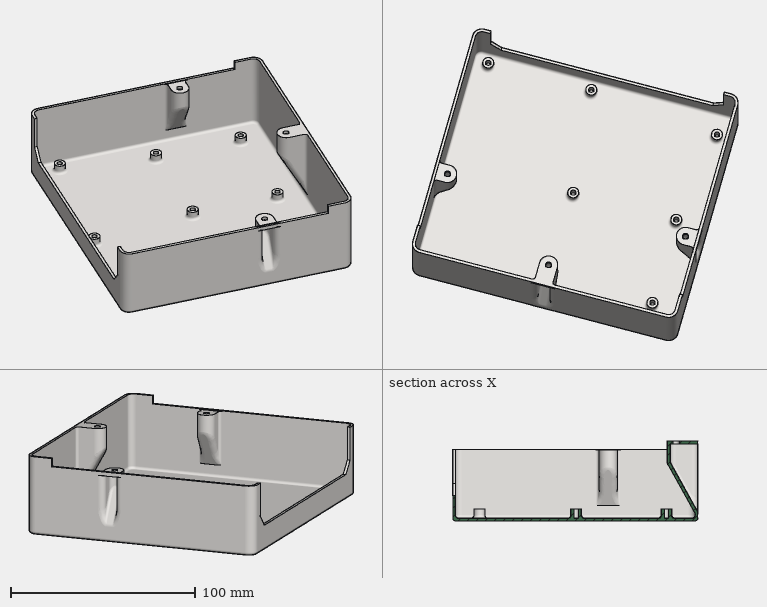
import cadquery as cq
import math

LENGTH = 149.2
WIDTH = 133.2
BACK_HEIGHT = 43.6
RIM_HEIGHT = 39.0
WALL = 1.6
FLOOR = 1.6
CORNER_RADIUS = 5.2
OUTER_EDGE_RADIUS = 1.6
FLOOR_EDGE_RADIUS = 1.6
BACK_RIM_DEPTH = 14.7

OPENING_MARGIN = 9.0
OPENING_SILL = 14.0
OPENING_CHAMFER_X = 6.0
OPENING_CHAMFER_Z = 6.5

LUG_RADIUS = 5.0
LUG_EDGE_RADIUS = 3.0
LUG_ROOT_RADIUS = 1.6
LUG_HOLE_DIAMETER = 3.2
LUG_SLOPE_ANGLE = 61.0
LUG_SLOPE = math.tan(math.radians(LUG_SLOPE_ANGLE))

SIDE_LUG_Y = 17.9
SIDE_LUG_REACH = 7.6
SIDE_LUG_TOP = 38.6
SIDE_LUG_FOOT = 8.4
BACK_LUG_X = 0.0
BACK_LUG_REACH = 11.8
BACK_LUG_TOP = BACK_HEIGHT
BACK_LUG_FOOT = 4.0

LUG_SHELL = 1.8
HOLLOW_RADIUS = LUG_RADIUS - LUG_SHELL
HOLLOW_EDGE_RADIUS = 1.6
HOLLOW_MOUTH_RADIUS = 3.3
HOLLOW_SLOPE_RISE = LUG_SHELL * math.hypot(1, LUG_SLOPE)

BOSS_DIAMETER = 6.0
BOSS_HOLE_DIAMETER = 2.85
BOSS_HEIGHT = 5.0
BOSS_FOOT_RADIUS = 1.6
BOARD_PITCH_X = 58.0
BOARD_PITCH_Y = 49.0
BACK_BOARD_X = -57.0
BACK_BOARD_Y = 0.5
FRONT_BOARD_X = 7.0
FRONT_BOARD_Y = -58.5
CORNER_BOSS = (-65.5, -52.0)

TINY = 0.01


def rounded_block(inset, bottom, edge_radius):
    """Block inset from the tray's sides, with round corners and a round bottom edge."""
    return (
        cq.Workplane("XY", origin=(0, 0, bottom))
        .rect(LENGTH - 2 * inset, WIDTH - 2 * inset)
        .extrude(BACK_HEIGHT - bottom)
        .edges("|Z")
        .fillet(CORNER_RADIUS - inset)
        .faces("<Z")
        .edges()
        .fillet(edge_radius)
    )


def make_shell():
    """Open tray whose rim is higher along the back wall."""
    shell = rounded_block(0, 0, OUTER_EDGE_RADIUS)
    shell = shell.cut(rounded_block(WALL, FLOOR, FLOOR_EDGE_RADIUS))
    above_rim = cq.Workplane("XY").box(
        LENGTH, WIDTH, BACK_HEIGHT - RIM_HEIGHT, centered=(True, True, False)
    )
    return shell.cut(above_rim.translate((0, -BACK_RIM_DEPTH, RIM_HEIGHT)))


def front_opening():
    """Cutter for the front wall, with both lower corners cut off at a slant."""
    half = LENGTH / 2 - OPENING_MARGIN
    half_sill = half - OPENING_CHAMFER_X
    chamfer_top = OPENING_SILL + OPENING_CHAMFER_Z
    return (
        cq.Workplane("XZ", origin=(0, WALL - WIDTH / 2, 0))
        .moveTo(-half, RIM_HEIGHT)
        .lineTo(-half, chamfer_top)
        .lineTo(-half_sill, OPENING_SILL)
        .lineTo(half_sill, OPENING_SILL)
        .lineTo(half, chamfer_top)
        .lineTo(half, RIM_HEIGHT)
        .close()
        .extrude(WALL)
    )




def slope_underside(form, tip, foot, edge_radius):
    """Cut a slope from height foot at Y = 0 up to the tip and round its edges beyond the wall."""
    tip_height = foot + tip * LUG_SLOPE
    back_height = foot - WALL * LUG_SLOPE
    half_width = LUG_RADIUS + LUG_ROOT_RADIUS
    below = (
        cq.Workplane("YZ")
        .polyline([(-WALL, 0), (-WALL, back_height), (tip, tip_height), (tip, 0)])
        .close()
        .extrude(half_width, both=True)
    )
    form = form.cut(below)
    slope = form.faces("%PLANE").filter(lambda face: face.normalAt().y * face.normalAt().z < -TINY)
    return slope.edges().filter(lambda edge: edge.Center().y > TINY).fillet(edge_radius)


def make_lug(reach, top, foot):
    """Solid lug that flares out where it meets the inside of the wall."""
    radius = LUG_RADIUS
    root = LUG_ROOT_RADIUS
    half_width = radius + root
    tip = reach + radius
    form = (
        cq.Workplane("XY")
        .moveTo(-half_width, -WALL)
        .lineTo(-half_width, 0)
        .radiusArc((-radius, root), -root)
        .lineTo(-radius, reach)
        .threePointArc((0, tip), (radius, reach))
        .lineTo(radius, root)
        .radiusArc((half_width, 0), -root)
        .lineTo(half_width, -WALL)
        .close()
        .extrude(top)
    )
    return slope_underside(form, tip, foot, LUG_EDGE_RADIUS)


def make_hollow(reach, top, foot):
    """Hollow inside a lug, with a rounded mouth on the outside of the wall and a flat top."""
    radius = HOLLOW_RADIUS
    tip = reach + radius
    form = (
        cq.Workplane("XY")
        .moveTo(-radius, -WALL)
        .lineTo(-radius, reach)
        .threePointArc((0, tip), (radius, reach))
        .lineTo(radius, -WALL)
        .close()
        .extrude(top)
    )
    form = slope_underside(form, tip, foot, HOLLOW_EDGE_RADIUS)
    block_width = 2 * (radius + 2 * HOLLOW_MOUTH_RADIUS)
    block = cq.Workplane("XY").box(block_width, 2 * tip, top, centered=(True, False, False))
    mouth = cq.selectors.BoxSelector((-radius - TINY, -TINY, TINY), (radius + TINY, TINY, top - TINY))
    surround = block.cut(form).edges(mouth).fillet(HOLLOW_MOUTH_RADIUS)
    return block.cut(surround)


def add_lug(body, reach, top, foot, angle, place):
    """Add a hollow lug with its screw hole; place is its point on the outside of the wall."""

    def on_wall(form):
        return form.rotate((0, 0, 0), (0, 0, 1), angle).translate((*place, 0))

    lug = make_lug(reach - WALL, top, foot).translate((0, WALL, 0))
    hollow_foot = foot - WALL * LUG_SLOPE + HOLLOW_SLOPE_RISE
    hollow = make_hollow(reach, top - LUG_SHELL, hollow_foot)
    hole = (
        cq.Workplane("XY", origin=(0, reach, top - LUG_SHELL))
        .circle(LUG_HOLE_DIAMETER / 2)
        .extrude(LUG_SHELL)
    )
    return body.union(on_wall(lug)).cut(on_wall(hollow)).cut(on_wall(hole))


def make_boss():
    """Standoff with a screw hole down to the floor and a filleted foot."""
    hole_radius = BOSS_HOLE_DIAMETER / 2
    radius = BOSS_DIAMETER / 2
    return (
        cq.Workplane("XZ")
        .moveTo(hole_radius, 0)
        .lineTo(hole_radius, BOSS_HEIGHT)
        .lineTo(radius, BOSS_HEIGHT)
        .lineTo(radius, BOSS_FOOT_RADIUS)
        .radiusArc((radius + BOSS_FOOT_RADIUS, 0), -BOSS_FOOT_RADIUS)
        .close()
        .revolve(360, (0, 0, 0), (0, 1, 0))
        .translate((0, 0, FLOOR))
    )


def boss_places():
    """Centres of all standoffs."""
    columns = (0, BOARD_PITCH_X)
    rows = (0, BOARD_PITCH_Y)
    places = [(BACK_BOARD_X + dx, BACK_BOARD_Y + dy) for dx in columns for dy in rows]
    places += [(FRONT_BOARD_X + dx, FRONT_BOARD_Y) for dx in columns]
    return places + [CORNER_BOSS]


body = make_shell().cut(front_opening())
for side in (-1, 1):
    side_place = (side * LENGTH / 2, SIDE_LUG_Y)
    body = add_lug(body, SIDE_LUG_REACH, SIDE_LUG_TOP, SIDE_LUG_FOOT, side * 90, side_place)
back_place = (BACK_LUG_X, WIDTH / 2)
body = add_lug(body, BACK_LUG_REACH, BACK_LUG_TOP, BACK_LUG_FOOT, 180, back_place)
for x, y in boss_places():
    body = body.union(make_boss().translate((x, y, 0)))

result = body